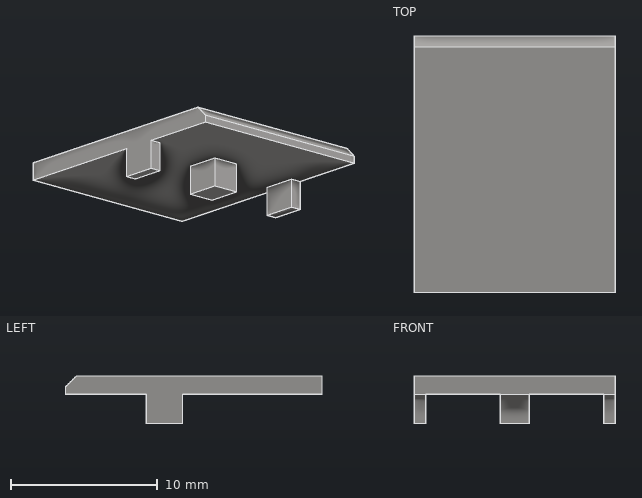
import cadquery as cq

plate_width = 13.7
plate_length = 17.5
plate_thickness = 1.25
back_chamfer = 0.75

foot_height = 2.0
foot_length = 2.5
side_foot_width = 0.8
middle_foot_width = 2.0
foot_back_setback = 5.5

foot_center_y = plate_length / 2 - foot_back_setback - foot_length / 2
side_foot_x = (plate_width - side_foot_width) / 2


def make_plate():
    """Flat plate with its top back edge chamfered."""
    plate = cq.Workplane("XY").box(
        plate_width, plate_length, plate_thickness, centered=(True, True, False)
    )
    return plate.faces(">Y").edges(">Z").chamfer(back_chamfer)


def make_foot(center_x, width):
    """Rectangular foot hanging from the underside of the plate."""
    return (
        cq.Workplane("XY")
        .center(center_x, foot_center_y)
        .rect(width, foot_length)
        .extrude(-foot_height)
    )


result = make_plate()
for center_x, width in (
    (-side_foot_x, side_foot_width),
    (0, middle_foot_width),
    (side_foot_x, side_foot_width),
):
    result = result.union(make_foot(center_x, width))
result = result.clean()